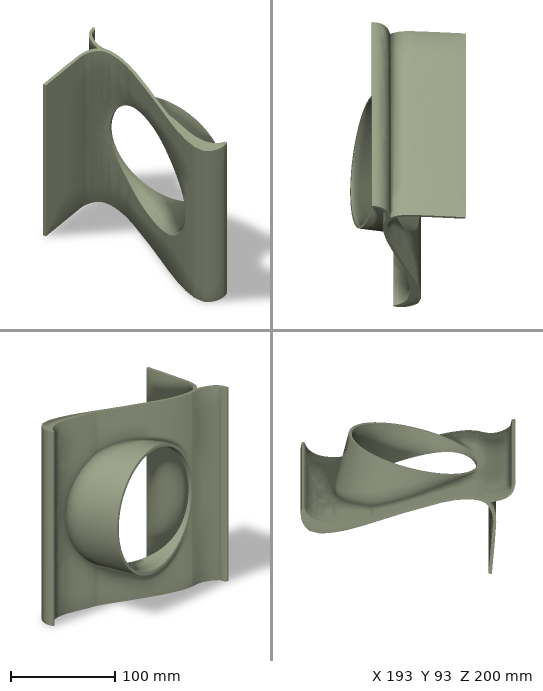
import cadquery as cq

height = 200.0
width = 193.0
depth = 93.0

tube_outer_diameter = 130.0
tube_inner_diameter = 124.0
tube_center_x = 94.8
tube_center_z = height / 2

sheet = 3.2
crest_y = 73.0
crest_underside_y = 69.2
hook_outside_y = 90.0
hook_inside_y = 85.2
hook_tip_round = 1.2
crest_start_x = 27.0
crest_end_x = 32.0
crotch = (19.5, 69.8)
crotch_direction = (2.0, 1.0)
hook_start_direction = (-2.0, 1.0)
hook_end_direction = (0, 1.0)
leg_bend_start = (7.5, 47.2)
leg_direction = leg_bend_start
leg_bend_inside = (10.8, 47.2)

toe_start = (125.8, 25.5)
toe_flat_start_x = 169.5
toe_flat_end_x = 180.2
toe_tip_width = 2.5
toe_tip_y = 21.5
toe_side_y = 16.0

panel_top = [(44.0, 70.5), (57.2, 65.5), (71.2, 58.5), (93.8, 45.0), toe_start]
toe_top = [(148.0, 17.5), (171.0, 12.2), (182.5, 14.2), (187.2, 17.2), (width - toe_tip_width, toe_tip_y)]
panel_underside = [(148.0, 8.5), (116.5, 27.5), (93.8, 41.5), (75.8, 52.0), (57.5, 61.8),
                   (44.0, 67.0), (crest_end_x, crest_underside_y)]
leg_inside_bend = [(24.8, 68.5), (17.0, 62.8), leg_bend_inside]
leg_outside = [(3.8, 23.5), leg_bend_start, (11.0, 59.5), (15.5, 66.5), crotch]
hook_outside = [(14.0, 72.5), (8.0, 75.8), (3.5, 80.0), (0.5, 85.0), (0, hook_outside_y)]


def make_profile():
    """Hook, curved panel, thick toe and leg as one closed XY outline."""
    return (
        cq.Workplane("XY")
        .moveTo(0, hook_outside_y)
        .lineTo(0, depth)
        .lineTo(sheet - hook_tip_round, depth)
        .lineTo(sheet, depth - hook_tip_round)
        .lineTo(sheet, hook_inside_y)
        .threePointArc((12.0, 77.0), (crest_start_x, crest_y))
        .lineTo(crest_end_x, crest_y)
        .spline(panel_top, includeCurrent=True)
        .spline(toe_top, includeCurrent=True)
        .lineTo(width, toe_tip_y)
        .lineTo(width, toe_side_y)
        .threePointArc((188.5, 6.2), (toe_flat_end_x, 0))
        .lineTo(toe_flat_start_x, 0)
        .spline(panel_underside + leg_inside_bend, includeCurrent=True)
        .lineTo(sheet, 0)
        .lineTo(0, 0)
        .spline(leg_outside, tangents=[leg_direction, crotch_direction], includeCurrent=True)
        .spline(hook_outside, tangents=[hook_start_direction, hook_end_direction], includeCurrent=True)
        .close()
    )


def cylinder_along_y(diameter, start_y, end_y):
    """Cylinder on the tube axis between two Y positions."""
    return (
        cq.Workplane("XZ", origin=(tube_center_x, start_y, tube_center_z))
        .circle(diameter / 2)
        .extrude(start_y - end_y)
    )


def make_space_behind_panel():
    """Solid that trims the tube to end halfway through the panel's sheet."""
    return (
        cq.Workplane("XY")
        .moveTo(toe_flat_start_x, 0)
        .spline(panel_underside, includeCurrent=True)
        .lineTo(crest_end_x, crest_y)
        .lineTo(toe_flat_start_x, crest_y)
        .close()
        .extrude(height)
        .translate((0, sheet / 2, 0))
    )


body = make_profile().extrude(height)
tube = cylinder_along_y(tube_outer_diameter, 0, crest_y).intersect(make_space_behind_panel())
bore = cylinder_along_y(tube_inner_diameter, 0, depth)

result = body.union(tube).cut(bore)